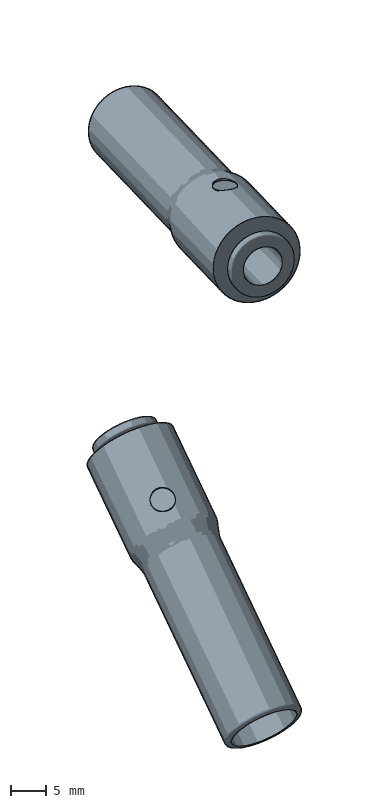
import cadquery as cq

total_length = 48.65
cone_start = 28.7
cone_end = 31.2
body_end = 46.45
flange_start = 47.35

stem_radius = 6.0
body_radius = 6.74
neck_radius = 3.6
flange_radius = 4.95
stem_bore_radius = 5.1
tube_bore_radius = 3.0

stem_tip_fillet = 0.45
cone_fillet = 1.95
flange_fillet = 0.25

recess_x = 35.2
recess_radius = 1.8
recess_floor_z = 6.4


def cylinder(start, end, radius):
    """Solid cylinder on the X axis between two axial positions."""
    return cq.Workplane("YZ", origin=(start, 0, 0)).circle(radius).extrude(end - start)


def ring_at(x):
    """Selector for the circular edges lying in the plane at x."""
    margin = 0.005
    reach = 2 * body_radius
    return cq.selectors.BoxSelector(
        (x - margin, -reach, -reach),
        (x + margin, reach, reach),
        boundingbox=True,
    )


sleeve = (
    cq.Workplane("XZ")
    .moveTo(0, 0)
    .lineTo(0, stem_radius)
    .lineTo(cone_start, stem_radius)
    .lineTo(cone_end, body_radius)
    .lineTo(body_end, body_radius)
    .lineTo(body_end, 0)
    .close()
    .revolve(360, (0, 0, 0), (1, 0, 0))
)
sleeve = sleeve.edges(ring_at(cone_start)).fillet(cone_fillet)
sleeve = sleeve.edges(ring_at(cone_end)).fillet(cone_fillet)
sleeve = sleeve.edges(ring_at(0)).fillet(stem_tip_fillet)

neck = cylinder(body_end, flange_start, neck_radius)
flange = cylinder(flange_start, total_length, flange_radius).edges().fillet(flange_fillet)

stem_bore = cylinder(0, cone_start, stem_bore_radius)
tube_bore = cylinder(0, total_length, tube_bore_radius)

recess = (
    cq.Workplane("XY", origin=(recess_x, 0, recess_floor_z))
    .circle(recess_radius)
    .extrude(body_radius - recess_floor_z)
)

result = sleeve.union(neck).union(flange).cut(stem_bore).cut(tube_bore).cut(recess)